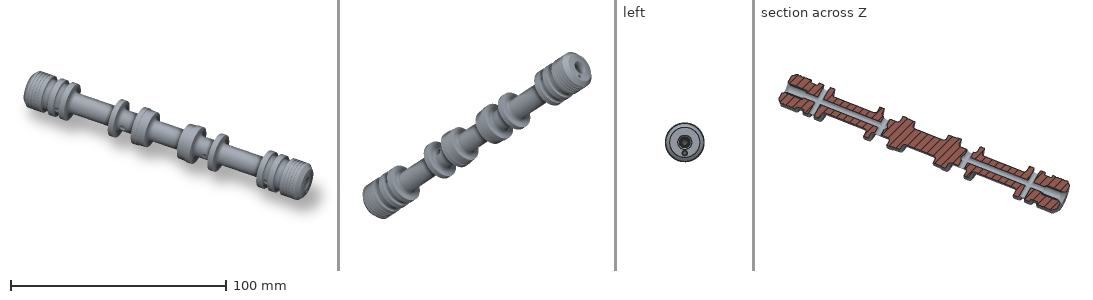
import cadquery as cq
length = 143.0
land_radius = 18.0 / 2
shaft_radius = 10.0 / 2
end_chamfer = 2.0

balance_count = 4
balance_start = 3.0
balance_width = 0.6
balance_spacing = 0.93
balance_radius = 17.5 / 2

head_end = 21.7
head_grooves = ((9.7, 13.3), (16.0, 19.0))
head_groove_radius = 15.0 / 2
head_groove_fillet = 0.5

collar_start = 44.5
collar_end = 47.0
land_start = 56.3
taper_start = 58.8
land_end = 63.0
taper_start_radius = 17.5 / 2
taper_end_radius = 17.0 / 2
shaft_fillet = 1.5

head_hole_radius = 2.7 / 2
head_hole_x = sum(head_grooves[1]) / 2
shaft_hole_radius = 3.0 / 2
shaft_hole_x = 50.0

countersink_radius = 6.6 / 2
countersink_depth = 2.0
centre_thread_outer = 5.0 / 2
centre_thread_inner = 4.1 / 2
centre_thread_end = 10.0
feed_radius = 3.0 / 2
feed_overrun = 1.7
feed_end = shaft_hole_x + feed_overrun
feed_tip = 0.9

side_thread_outer = 2.5 / 2
side_thread_inner = 2.0 / 2
side_thread_depth = 2.0
side_thread_z = -5.0


def mirrored(shape):
    """The same shape at the +X end."""
    return shape.mirror("YZ", (length / 2, 0, 0))


def revolved(outline):
    """A closed half-outline turned about the X axis."""
    return outline.close().revolve(360, (0, 0, 0), (1, 0, 0))


def rounded_groove(outline, start, end, floor, fillet, end_radius):
    """Continue the outline down into a groove with filleted floor corners and up to end_radius."""
    return (
        outline.lineTo(start, floor + fillet)
        .radiusArc((start + fillet, floor), -fillet)
        .lineTo(end - fillet, floor)
        .radiusArc((end, floor + fillet), -fillet)
        .lineTo(end, end_radius)
    )


def half_spool():
    """The solid spool from its -X end to the middle, before any holes."""
    outline = cq.Workplane("XY").lineTo(0, land_radius - end_chamfer).lineTo(end_chamfer, land_radius)
    for i in range(balance_count):
        start = balance_start + i * (balance_width + balance_spacing)
        end = start + balance_width
        outline = outline.lineTo(start, land_radius).lineTo(start, balance_radius)
        outline = outline.lineTo(end, balance_radius).lineTo(end, land_radius)
    for start, end in head_grooves:
        outline = outline.lineTo(start, land_radius)
        outline = rounded_groove(outline, start, end, head_groove_radius, head_groove_fillet, land_radius)
    for start, end in ((head_end, collar_start), (collar_end, land_start)):
        outline = outline.lineTo(start, land_radius)
        outline = rounded_groove(outline, start, end, shaft_radius, shaft_fillet, land_radius)
    outline = (
        outline.lineTo(taper_start, land_radius)
        .lineTo(taper_start, taper_start_radius)
        .lineTo(land_end, taper_end_radius)
        .lineTo(land_end, shaft_radius + shaft_fillet)
        .radiusArc((land_end + shaft_fillet, shaft_radius), -shaft_fillet)
        .lineTo(length / 2, shaft_radius)
        .lineTo(length / 2, 0)
    )
    return revolved(outline)


def cross_hole(x, radius):
    """A hole right through the spool along Y."""
    return cq.Workplane("XZ").center(x, 0).circle(radius).extrude(land_radius, both=True)


def axial_hole():
    """Countersink, pocket for the centre thread and drilled feed bore."""
    outline = (
        cq.Workplane("XY")
        .lineTo(0, countersink_radius)
        .lineTo(countersink_depth, centre_thread_inner)
        .lineTo(countersink_depth, centre_thread_outer)
        .lineTo(centre_thread_end, centre_thread_outer)
        .lineTo(centre_thread_end, feed_radius)
        .lineTo(feed_end, feed_radius)
        .lineTo(feed_end + feed_tip, 0)
    )
    return revolved(outline)


def side_hole():
    """Pocket for the side thread."""
    return cq.Workplane("YZ").center(0, side_thread_z).circle(side_thread_outer).extrude(side_thread_depth)


def spool():
    body = half_spool()
    body = body.union(mirrored(body))
    cuts = (
        cross_hole(head_hole_x, head_hole_radius),
        cross_hole(shaft_hole_x, shaft_hole_radius),
        axial_hole(),
        side_hole(),
    )
    for cut in cuts:
        body = body.cut(cut).cut(mirrored(cut))
    return body


def centre_thread():
    """Sleeve standing for the thread of the axial hole."""
    return (
        cq.Workplane("YZ", origin=(countersink_depth, 0, 0))
        .circle(centre_thread_outer)
        .circle(centre_thread_inner)
        .extrude(centre_thread_end - countersink_depth)
    )


def side_thread():
    """Sleeve standing for the thread of the small hole."""
    return (
        cq.Workplane("YZ", origin=(0, 0, side_thread_z))
        .circle(side_thread_outer)
        .circle(side_thread_inner)
        .extrude(side_thread_depth)
    )


bodies = [spool().val()]
for sleeve in (centre_thread(), side_thread()):
    bodies.append(sleeve.val())
    bodies.append(mirrored(sleeve).val())

result = cq.Compound.makeCompound(bodies)